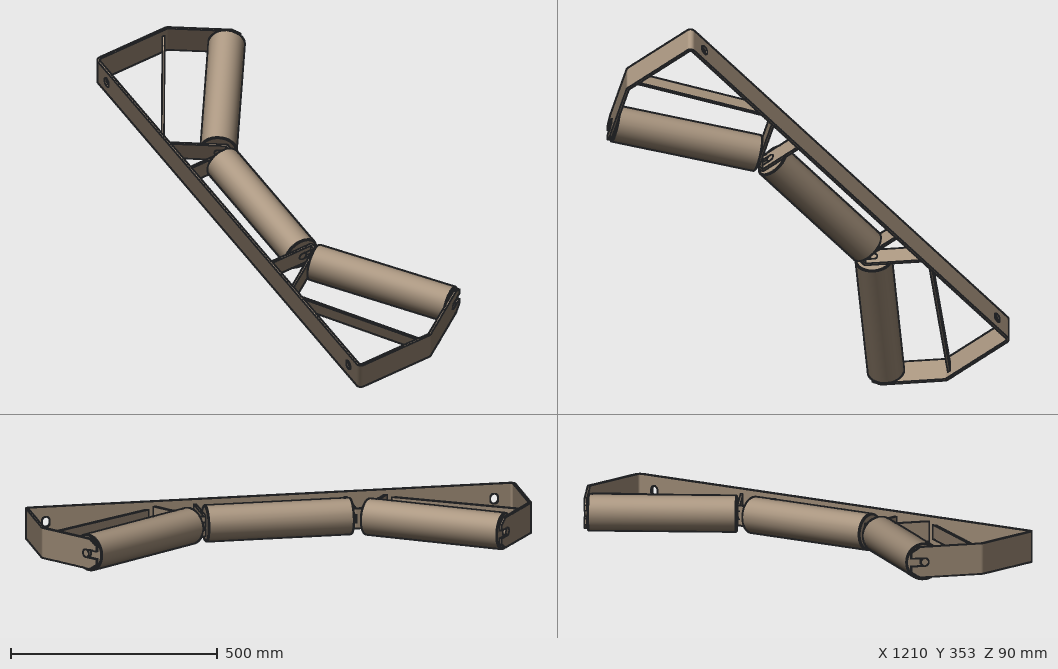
import cadquery as cq
import math

frame_length = 1210.0
bar_width = 75.0
bar_thickness = 6.0
bend_radius = 12.0

roller_diameter = 90.0
roller_length = 360.0
roller_chamfer = 2.0
shaft_diameter = 19.0
end_gap = 2.0
trough_angle = 35.0
centre_roller_y = 98.0
side_roller_x = 367.0
side_roller_y = 214.0

arm_above_shaft = 34.0
arm_tip_chamfer_along = 22.0
arm_tip_chamfer_across = 13.0
leg_slot_height = 22.0
bridge_top_y = 127.0
bracket_width = 50.0

brace_width = 35.0
brace_top_y = 194.0
brace_foot_x = 300.0

fixing_slot_x = 554.0
fixing_slot_width = 19.0
fixing_slot_height = 25.0

half_length = frame_length / 2
half_roller = roller_length / 2
inner_face = half_roller + end_gap
outer_face = inner_face + bar_thickness
tilt = math.radians(trough_angle)


def side_point(along, above):
    """Point measured from the right side roller's middle: outwards along its axis and square to it."""
    x = side_roller_x + along * math.cos(tilt) - above * math.sin(tilt)
    y = side_roller_y + along * math.sin(tilt) + above * math.cos(tilt)
    return x, y


def side_point_at_x(along, x):
    """Point at a given X on the line square to the side roller's axis."""
    start_x, _ = side_point(along, 0)
    return side_point(along, (start_x - x) / math.sin(tilt))


def side_point_at_y(along, y):
    """Point at a given Y on the line square to the side roller's axis."""
    _, start_y = side_point(along, 0)
    return side_point(along, (y - start_y) / math.cos(tilt))


def plate(points, width):
    """Flat outline in XY, extruded evenly to both sides of the mid-plane."""
    return cq.Workplane("XY", origin=(0, 0, -width / 2)).polyline(points).close().extrude(width)


def round_edges(body, corners, radius):
    """Fillet the edges that stand along Z at the given XY corners."""
    for corner in corners:
        body = body.edges(cq.NearestToPointSelector((*corner, 0))).fillet(radius)
    return body


def both_sides(body):
    """The body and its mirror image across the YZ plane."""
    return body.union(body.mirror("YZ"))


def on_side_axis(solid):
    """Move a solid from the X axis onto the right-hand side roller's axis."""
    turned = solid.rotate((0, 0, 0), (0, 0, 1), trough_angle)
    return turned.translate((side_roller_x, side_roller_y, 0))


def make_half_strap():
    """Right half of the main strap: base, side wall and tilted arm."""
    inner_x = half_length - bar_thickness
    outer_bend = side_point_at_x(outer_face, half_length)
    inner_bend = side_point_at_x(inner_face, inner_x)
    half = plate(
        [
            (0, 0),
            (half_length, 0),
            outer_bend,
            side_point(outer_face, arm_above_shaft),
            side_point(inner_face, arm_above_shaft),
            inner_bend,
            (inner_x, bar_thickness),
            (0, bar_thickness),
        ],
        bar_width,
    )
    half = round_edges(half, [(half_length, 0), outer_bend], bend_radius)
    half = round_edges(half, [(inner_x, bar_thickness), inner_bend], bend_radius - bar_thickness)
    return half.cut(make_arm_tip_cuts())


def make_arm_tip_cuts():
    """Two wedges that bevel the corners of the arm tip."""
    half_width = bar_width / 2
    wedge = (
        cq.Workplane("YZ", origin=(inner_face, 0, 0))
        .moveTo(arm_above_shaft, half_width)
        .lineTo(arm_above_shaft - arm_tip_chamfer_along, half_width)
        .lineTo(arm_above_shaft, half_width - arm_tip_chamfer_across)
        .close()
        .extrude(bar_thickness)
    )
    return on_side_axis(wedge.union(wedge.mirror("XY")))


def make_bracket():
    """Inner support: tilted leg, short bridge and upright, rounded on the outside of the corners."""
    bridge_bottom_y = bridge_top_y - bar_thickness
    outer_corners = [side_point_at_y(-inner_face, bridge_top_y), (inner_face, bridge_top_y)]
    bracket = plate(
        [
            side_point_at_y(-inner_face, bar_thickness),
            *outer_corners,
            (inner_face, bar_thickness),
            (outer_face, bar_thickness),
            (outer_face, bridge_bottom_y),
            side_point_at_y(-outer_face, bridge_bottom_y),
            side_point_at_y(-outer_face, bar_thickness),
        ],
        bracket_width,
    )
    return round_edges(bracket, outer_corners, bar_thickness)


def make_brace():
    """Narrow diagonal bar from the side wall down to the base."""
    wall_x = half_length - bar_thickness
    slope = math.atan2(brace_top_y - bar_thickness, wall_x - brace_foot_x)
    return plate(
        [
            (brace_foot_x, bar_thickness),
            (wall_x, brace_top_y),
            (wall_x, brace_top_y - bar_thickness / math.cos(slope)),
            (brace_foot_x + bar_thickness / math.sin(slope), bar_thickness),
        ],
        brace_width,
    )


def shaft_slot(start, height):
    """Round-bottomed slot for a shaft, cut across a bar that stands on the X axis."""
    radius = shaft_diameter / 2
    return (
        cq.Workplane("YZ", origin=(start, 0, 0))
        .moveTo(height, radius)
        .lineTo(0, radius)
        .threePointArc((-radius, 0), (0, -radius))
        .lineTo(height, -radius)
        .close()
        .extrude(bar_thickness)
    )


def make_frame():
    """Strap, brackets and braces welded into one body, with all slots cut."""
    half = make_half_strap().union(make_bracket()).union(make_brace())

    half = half.cut(on_side_axis(shaft_slot(inner_face, arm_above_shaft)))
    half = half.cut(on_side_axis(shaft_slot(-outer_face, leg_slot_height)))
    upright_slot = shaft_slot(inner_face, bridge_top_y - centre_roller_y)
    half = half.cut(upright_slot.translate((0, centre_roller_y, 0)))

    fixing_slot = (
        cq.Workplane("XZ", origin=(fixing_slot_x, 0, 0))
        .slot2D(fixing_slot_height, fixing_slot_width, 90)
        .extrude(-bar_thickness)
    )
    return both_sides(half.cut(fixing_slot))


def axial_cylinder(diameter, length):
    """Cylinder along X, centred on the origin."""
    return cq.Workplane("YZ", origin=(-length / 2, 0, 0)).circle(diameter / 2).extrude(length)


def make_roller():
    """Roller and its shaft, centred on the X axis."""
    shell = axial_cylinder(roller_diameter, roller_length)
    shell = shell.faces("<X or >X").chamfer(roller_chamfer)
    shaft = axial_cylinder(shaft_diameter, 2 * outer_face)
    return shell.union(shaft)


frame = make_frame()
centre_roller = make_roller().translate((0, centre_roller_y, 0))

side_rollers = []
for side in (-1, 1):
    side_roller = make_roller().rotate((0, 0, 0), (0, 0, 1), side * trough_angle)
    side_rollers.append(side_roller.translate((side * side_roller_x, side_roller_y, 0)))

result = cq.Compound.makeCompound([frame.val(), centre_roller.val(), *[r.val() for r in side_rollers]])